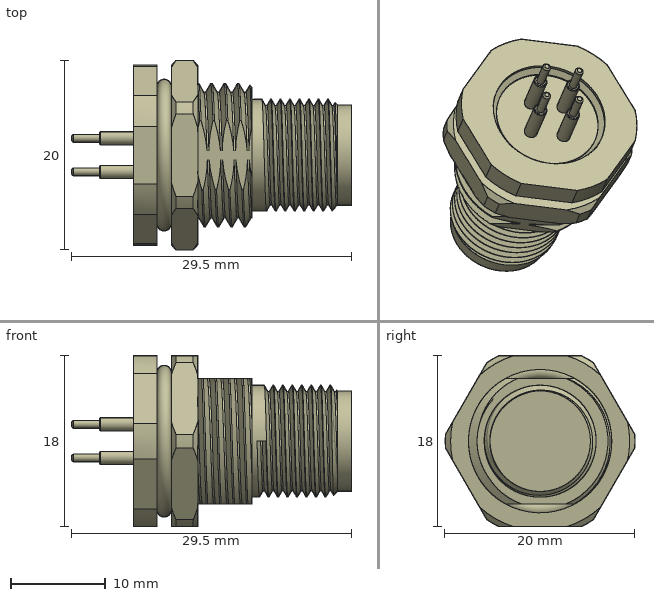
import cadquery as cq
import math


hex_across_flats = 18.0
flange_corner_diameter = 19.0
nut_corner_diameter = 20.0

flange_thickness = 2.5
oring_section = 1.5
nut_thickness = 2.8
nut_rear = flange_thickness + oring_section
large_thread_end = 12.5
small_thread_end = 21.5
housing_front = 23.0

oring_seat_diameter = 13.0
front_rim_diameter = 10.6

large_crest_diameter = 15.1
large_root_diameter = 13.28
large_pitch = 1.41
large_root_width = 0.2
large_groove_start = 5.41
large_turns = 5.375
large_end_chamfer = 0.4
thread_flats = 13.24

small_crest_diameter = 11.8
small_root_diameter = 10.5
small_pitch = 1.0
small_root_width = 0.18
small_groove_start = 13.5
small_turns = 8.375

flank_half_angle = 30.0
groove_overshoot = 0.03

nut_chamfer_length = 0.5
nut_chamfer_depth = 0.57

recess_mouth_diameter = 12.1
carrier_diameter = 11.0
recess_wall_depth = 0.35
recess_cone_depth = 0.85
recess_depth = 1.0
carrier_front = 10.0

pin_circle_diameter = 5.0
pin_count = 4
pin_diameter = 1.4
pin_shoulder = -3.55
pin_shoulder_chamfer = 0.1
pin_tip = -6.5
pin_tip_diameter = 0.84
pin_tip_chamfer = 0.18


def rod(diameter, start, end):
    """Cylinder on the X axis."""
    return cq.Workplane("YZ", origin=(start, 0, 0)).circle(diameter / 2).extrude(end - start)


def turned(points, seam_side=1):
    """Solid of revolution about X from (x, radius) points, with its seam on the +Y (1) or -Y (-1) side."""
    outline = [(x, seam_side * radius) for x, radius in points]
    return cq.Workplane("XY").polyline(outline).close().revolve(360, (0, 0, 0), (1, 0, 0))


def hexagon(start, thickness):
    """Hexagonal plate with flats facing +Z and -Z."""
    corner_diameter = hex_across_flats / math.cos(math.radians(30))
    plate = cq.Workplane("YZ", origin=(start, 0, 0)).polygon(6, corner_diameter)
    return plate.extrude(thickness)


def thread_groove(crest_diameter, root_diameter, root_width, pitch, start, turns):
    """Right-hand helical V groove that starts on the -Y side."""
    crest_radius = crest_diameter / 2
    root_radius = root_diameter / 2
    outer_radius = crest_radius + groove_overshoot
    flank_run = (outer_radius - root_radius) * math.tan(math.radians(flank_half_angle))
    half_root = root_width / 2
    half_mouth = half_root + flank_run
    profile = [
        (root_radius, -half_root),
        (outer_radius, -half_mouth),
        (outer_radius, half_mouth),
        (root_radius, half_root),
    ]
    helix = cq.Wire.makeHelix(pitch, turns * pitch, root_radius)
    groove = cq.Workplane("XZ").polyline(profile).close().sweep(cq.Workplane(helix), isFrenet=True)
    plane = cq.Plane(origin=(start, 0, 0), xDir=(0, -1, 0), normal=(1, 0, 0))
    return cq.Workplane(groove.val().moved(cq.Location(plane)))


def threaded_rod(crest_diameter, start, end, end_chamfer, groove, seam_side):
    """Rod with a helical groove and a 45 degree chamfer at its front end."""
    crest_radius = crest_diameter / 2
    outline = [
        (start, 0),
        (start, crest_radius),
        (end - end_chamfer, crest_radius),
        (end, crest_radius - end_chamfer),
        (end, 0),
    ]
    return turned(outline, seam_side).cut(groove)


def make_large_thread():
    groove = thread_groove(
        large_crest_diameter, large_root_diameter, large_root_width, large_pitch,
        large_groove_start, large_turns,
    )
    thread = threaded_rod(
        large_crest_diameter, nut_rear, large_thread_end, large_end_chamfer, groove, 1,
    )
    flats = cq.Workplane("XY").box(2 * housing_front, 2 * large_crest_diameter, thread_flats)
    return thread.intersect(flats)


def make_small_thread():
    groove = thread_groove(
        small_crest_diameter, small_root_diameter, small_root_width, small_pitch,
        small_groove_start, small_turns,
    )
    end_chamfer = (small_crest_diameter - front_rim_diameter) / 2
    return threaded_rod(
        small_crest_diameter, large_thread_end, small_thread_end, end_chamfer, groove, -1,
    )


def make_housing():
    flange = hexagon(0, flange_thickness).intersect(rod(flange_corner_diameter, 0, flange_thickness))
    body = flange.union(rod(oring_seat_diameter, 0, nut_rear))
    body = body.union(make_large_thread())
    body = body.union(make_small_thread())
    body = body.union(rod(front_rim_diameter, small_thread_end, housing_front))
    carrier_radius = carrier_diameter / 2
    recess = turned([
        (0, 0),
        (0, recess_mouth_diameter / 2),
        (recess_wall_depth, recess_mouth_diameter / 2),
        (recess_cone_depth, carrier_radius),
        (carrier_front, carrier_radius),
        (carrier_front, 0),
    ])
    return body.cut(recess)


def make_oring():
    section_radius = oring_section / 2
    ring_radius = oring_seat_diameter / 2 + section_radius
    section = cq.Workplane("XY").center(flange_thickness + section_radius, ring_radius)
    return section.circle(section_radius).revolve(360, (0, -ring_radius, 0), (1, -ring_radius, 0))


def make_nut():
    nut_front = nut_rear + nut_thickness
    corner_radius = nut_corner_diameter / 2
    face_radius = corner_radius - nut_chamfer_depth
    corner_envelope = turned([
        (nut_rear, 0),
        (nut_rear, face_radius),
        (nut_rear + nut_chamfer_length, corner_radius),
        (nut_front - nut_chamfer_length, corner_radius),
        (nut_front, face_radius),
        (nut_front, 0),
    ])
    nut = hexagon(nut_rear, nut_thickness).intersect(corner_envelope)
    return nut.cut(rod(large_crest_diameter, nut_rear, nut_front))


def make_pin(y, z):
    shank = rod(pin_diameter, pin_shoulder, carrier_front).faces("<X").chamfer(pin_shoulder_chamfer)
    tip = rod(pin_tip_diameter, pin_tip, pin_shoulder).faces("<X").chamfer(pin_tip_chamfer)
    return shank.union(tip).translate((0, y, z))


def pin_positions():
    radius = pin_circle_diameter / 2
    angles = [math.radians(45 + 360 / pin_count * i) for i in range(pin_count)]
    return [(radius * math.cos(a), radius * math.sin(a)) for a in angles]


def make_carrier():
    carrier = rod(carrier_diameter, recess_depth, carrier_front)
    for y, z in pin_positions():
        carrier = carrier.cut(rod(pin_diameter, recess_depth, carrier_front).translate((0, y, z)))
    return carrier


housing = make_housing()
oring = make_oring()
nut = make_nut()
carrier = make_carrier()
pins = [make_pin(y, z) for y, z in pin_positions()]

result = cq.Compound.makeCompound([
    housing.val(),
    oring.val(),
    nut.val(),
    carrier.val(),
    *[pin.val() for pin in pins],
])